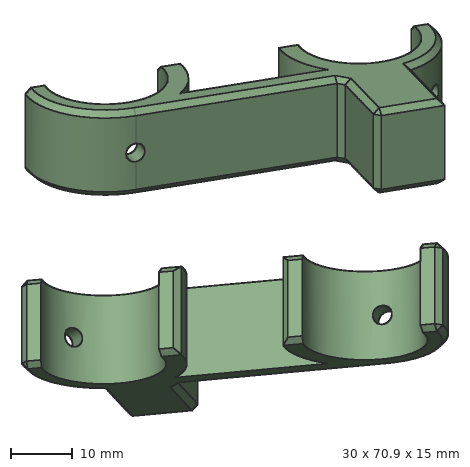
import cadquery as cq
import math

total_length = 30.0
total_width = 70.9
height = 15.0
bevel = 1.0

clip_outer_radius = 13.5
clip_inner_radius = 10.15
mouth_x = -2.05
clip_y = total_width / 2 - clip_outer_radius

strut_thickness = 3.6
arm_width = 12.0
arm_top_offset = 4.0
arm_top_y = clip_y + arm_top_offset
arm_bottom_y = arm_top_y - arm_width
arm_end_x = mouth_x + total_length
strut_outer_x = clip_outer_radius

hole_diameter = 3.2
upper_hole_angle = 45
lower_hole_angle = 0

TOLERANCE = 0.01


def block(x_min, x_max, y_min, y_max):
    """Full-height block between the given limits, centred on Z = 0."""
    return (
        cq.Workplane("XY")
        .box(x_max - x_min, y_max - y_min, height)
        .translate(((x_min + x_max) / 2, (y_min + y_max) / 2, 0))
    )


def cylinder(radius, y):
    return cq.Workplane("XY", origin=(0, y, -height / 2)).circle(radius).extrude(height)


def body():
    """Unbevelled clips, strut and arm."""
    solid = block(strut_outer_x - strut_thickness, strut_outer_x, -clip_y, clip_y)
    solid = solid.union(block(0, arm_end_x, arm_bottom_y, arm_top_y))
    for y in (clip_y, -clip_y):
        solid = solid.union(cylinder(clip_outer_radius, y))
    for y in (clip_y, -clip_y):
        solid = solid.cut(cylinder(clip_inner_radius, y))
    half_width = total_width / 2
    return solid.intersect(block(mouth_x, arm_end_x, -half_width, half_width)).clean()


def is_beveled(edge):
    """True for the edges of the outer rim, the clip tips and the arm end."""
    box = edge.BoundingBox()
    middle = edge.positionAt(0.5)
    if box.zlen > TOLERANCE:
        tip_radius_y = math.sqrt(clip_outer_radius**2 - mouth_x**2)
        outer_tip = (
            abs(middle.x - mouth_x) < TOLERANCE
            and abs(abs(abs(middle.y) - clip_y) - tip_radius_y) < TOLERANCE
        )
        lower_arm_corner = (
            abs(middle.x - arm_end_x) < TOLERANCE
            and abs(middle.y - arm_bottom_y) < TOLERANCE
        )
        return outer_tip or lower_arm_corner
    clip_tip = box.xmax < mouth_x + TOLERANCE
    strut_or_arm = middle.x > strut_outer_x - TOLERANCE
    outer_arc = (
        edge.geomType() == "CIRCLE"
        and edge.radius() > clip_inner_radius + TOLERANCE
        and abs(middle.y) > clip_y
    )
    return clip_tip or strut_or_arm or outer_arc


def bevel_rim(solid):
    shape = solid.solids().val()
    edges = [edge for edge in shape.Edges() if is_beveled(edge)]
    return cq.Workplane("XY").add(shape.chamfer(bevel, None, edges))


def corner_triangle(z, inset, leg):
    """Right triangle in the strut and arm corner, its square corner moved into the body by inset."""
    x = strut_outer_x - inset
    y = arm_bottom_y + inset
    return cq.Wire.makePolygon(
        [cq.Vector(x, y, z), cq.Vector(x, y - leg, z), cq.Vector(x + leg, y, z)], close=True
    )


def corner_fill():
    """45 degree web in the corner of strut and arm, widening into the bevels at top and bottom."""
    rim_z = height / 2
    straight_z = rim_z - bevel
    levels = [(-rim_z, bevel), (-straight_z, 0), (straight_z, 0), (rim_z, bevel)]
    fill = cq.Workplane("XY")
    for (z_low, inset_low), (z_high, inset_high) in zip(levels, levels[1:]):
        low = corner_triangle(z_low, inset_low, bevel + inset_low)
        high = corner_triangle(z_high, inset_high, bevel + inset_high)
        fill = fill.union(cq.Workplane("XY").add(cq.Solid.makeLoft([low, high], True)))
    return fill


def screw_hole(y, angle):
    """Radial drill from the clip centre outward, at an angle from +X."""
    direction = cq.Vector(math.cos(math.radians(angle)), math.sin(math.radians(angle)), 0)
    depth = clip_outer_radius + bevel
    return cq.Workplane("XY").add(
        cq.Solid.makeCylinder(hole_diameter / 2, depth, cq.Vector(0, y, 0), direction)
    )


result = bevel_rim(body()).union(corner_fill())
result = result.cut(screw_hole(clip_y, upper_hole_angle))
result = result.cut(screw_hole(-clip_y, lower_hole_angle))